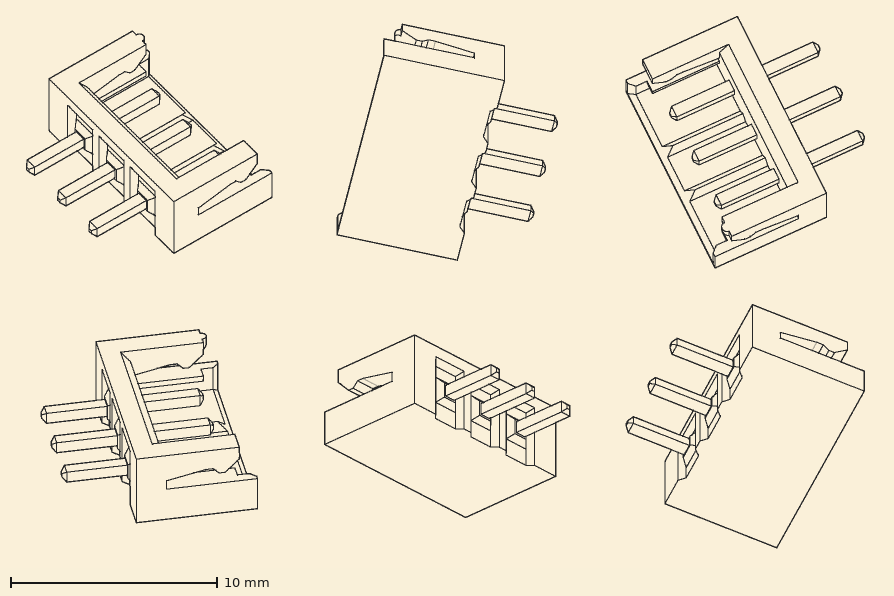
import cadquery as cq


width = 10.0
depth = 6.0
height = 3.8
half_width = width / 2

lead_in = 0.3
side_wall = 0.5
floor_z = 0.5
cavity_front_y = 1.5
half_cavity = half_width - side_wall

arm_width = 1.1
arm_end_y = 5.1
half_gap = half_width - arm_width
ledge_top_z = 1.8
ledge_thickness = 0.3
slot_front_top_z = 2.3
relief_start_y = 3.45
relief_end_y = 3.8
relief_z = 2.7
hook_start_y = 4.1
hook_end_y = 4.4
hook_z = 2.4
mark_radius = 0.25

wall_top_thickness = 1.0
wall_slope_bottom_z = 3.15

pin_count = 3
pin_pitch = 2.5
pin_size = 0.6
pin_axis_z = 1.6
pin_front_y = -3.2
pin_back_y = 4.8
pin_chamfer = 0.2

recess_width = 2.0
recess_top_z = 3.2
recess_depth = 0.3
boss_base_size = 1.4
boss_tip_size = 0.8

ridge_width = 0.6
ridge_height = 0.43

pin_xs = [(i - (pin_count - 1) / 2) * pin_pitch for i in range(pin_count)]
ridge_xs = [x + pin_pitch / 2 for x in pin_xs[:-1]]


def box(x0, x1, y0, y1, z0, z1):
    """Box between two opposite corners."""
    return cq.Workplane("XY").box(x1 - x0, y1 - y0, z1 - z0, centered=False).translate((x0, y0, z0))


def extrude_along_x(points, x0, x1):
    """Outline of (y, z) points, extruded from x0 to x1."""
    return cq.Workplane("YZ", origin=(x0, 0, 0)).polyline(points).close().extrude(x1 - x0)


def frustum_along_y(x, z, start_y, start_size, end_y, end_size):
    """Square frustum centred on (x, z), from start_y to a higher end_y."""
    return (
        cq.Workplane("XZ", origin=(x, start_y, z))
        .rect(start_size, start_size)
        .workplane(offset=start_y - end_y)
        .rect(end_size, end_size)
        .loft(ruled=True)
    )


def outer_block():
    """Full-depth lower body, and a shorter upper body with a round mark on the left arm."""
    lower = box(-half_width, half_width, 0, depth, 0, ledge_top_z)
    upper = box(-half_width, half_width, 0, arm_end_y, ledge_top_z, height)
    mark = (
        cq.Workplane("XY", origin=(-half_width + arm_width / 2, arm_end_y, ledge_top_z))
        .circle(mark_radius)
        .extrude(height - ledge_top_z)
    )
    return lower.union(upper).union(mark)


def latch_slot():
    """Gap under the arms; it leaves a hook with a 45 degree nose at each arm's end."""
    nose_top_z = hook_z + depth - hook_end_y
    outline = [
        (cavity_front_y, ledge_top_z),
        (cavity_front_y, slot_front_top_z),
        (relief_start_y, relief_z),
        (relief_end_y, relief_z),
        (hook_start_y, hook_z),
        (hook_end_y, hook_z),
        (depth, nose_top_z),
        (depth, ledge_top_z),
    ]
    return extrude_along_x(outline, -half_width, half_width)


def opening_between_arms():
    """Opening from the top into the cavity, bounded by the arms and the leaning front wall."""
    outline = [
        (wall_top_thickness, height),
        (cavity_front_y, wall_slope_bottom_z),
        (cavity_front_y, floor_z),
        (depth, floor_z),
        (depth, height),
    ]
    return extrude_along_x(outline, -half_gap, half_gap)


def above_floor_lead_in():
    """Everything above the 45 degree lead-in plane of the floor, up to the ledge top."""
    plane_rise = ledge_top_z - floor_z
    outline = [
        (depth, floor_z - lead_in),
        (depth, ledge_top_z),
        (depth - lead_in - plane_rise, ledge_top_z),
    ]
    return extrude_along_x(outline, -half_width, half_width)


def cavity():
    """Wide cavity below the side ledges, open to the top behind them, with a lead-in at the back."""
    ledge_bottom_z = ledge_top_z - ledge_thickness
    under_ledges = box(-half_cavity, half_cavity, cavity_front_y, depth, floor_z, ledge_bottom_z)
    behind_ledges = box(-half_cavity, half_cavity, arm_end_y, depth, floor_z, ledge_top_z)
    side_lead_in = (
        cq.Workplane("XY", origin=(0, 0, floor_z - lead_in))
        .polyline(
            [
                (-half_cavity, depth - lead_in),
                (-half_cavity - lead_in, depth),
                (half_cavity + lead_in, depth),
                (half_cavity, depth - lead_in),
            ]
        )
        .close()
        .extrude(ledge_top_z - floor_z + lead_in)
    )
    return under_ledges.union(behind_ledges).union(side_lead_in.intersect(above_floor_lead_in()))


def floor_ridge(x):
    """Triangular ridge along the floor, cut off at the back by the lead-in plane."""
    ridge = (
        cq.Workplane("XZ", origin=(x, cavity_front_y, floor_z))
        .polyline([(-ridge_width / 2, 0), (0, ridge_height), (ridge_width / 2, 0)])
        .close()
        .extrude(cavity_front_y - depth)
    )
    return ridge.cut(above_floor_lead_in())


def front_recess(x):
    """Recess in the front face, open at the bottom, with sides and top tapering inwards at 45 degrees."""
    half_mouth = recess_width / 2
    half_back = half_mouth - recess_depth
    top_slope = extrude_along_x(
        [(0, 0), (0, recess_top_z), (recess_depth, recess_top_z - recess_depth), (recess_depth, 0)],
        x - half_mouth,
        x + half_mouth,
    )
    side_slopes = (
        cq.Workplane("XY", origin=(x, 0, 0))
        .polyline([(-half_mouth, 0), (half_mouth, 0), (half_back, recess_depth), (-half_back, recess_depth)])
        .close()
        .extrude(recess_top_z)
    )
    return top_slope.intersect(side_slopes)


def pin_boss(x):
    """Boss that narrows from the back of the recess to the front face."""
    return frustum_along_y(x, pin_axis_z, 0, boss_tip_size, recess_depth, boss_base_size)


def pin(x):
    """Square pin with chamfered ends."""
    half = pin_size / 2
    bar = box(x - half, x + half, pin_front_y, pin_back_y, pin_axis_z - half, pin_axis_z + half)
    return bar.faces("<Y or >Y").chamfer(pin_chamfer)


result = outer_block().cut(latch_slot()).cut(opening_between_arms()).cut(cavity())

for ridge_x in ridge_xs:
    result = result.union(floor_ridge(ridge_x))

for pin_x in pin_xs:
    result = result.cut(front_recess(pin_x)).union(pin_boss(pin_x)).union(pin(pin_x))